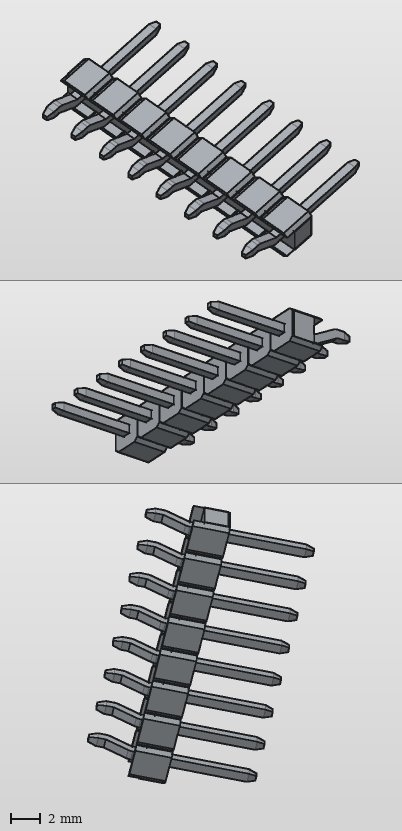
import cadquery as cq
import math

PIN_COUNT = 8
ROW_LENGTH = 20.32
PITCH = ROW_LENGTH / PIN_COUNT
FIRST_PIN_X = -(PIN_COUNT - 1) * PITCH / 2

HOUSING_HEIGHT = 2.5
HOUSING_DEPTH = HOUSING_HEIGHT
FLANGE_THICKNESS = 0.26
CORE_HEIGHT = HOUSING_HEIGHT - 2 * FLANGE_THICKNESS
CORE_FRONT = 1.77
REAR_RECESS = 0.12
SEGMENT_GAP = 0.08
SEGMENT_WIDTH = PITCH - SEGMENT_GAP
BEVEL_WIDTH = 0.3

PIN_SIZE = 0.65
REAR_LENGTH = 6.0
FRONT_END = 5.5
TIP_LENGTH = 0.57
TIP_SIZE = 0.37
BEND_START = 2.56
BEND_ANGLE = math.radians(29)


def pin_x_positions():
    return [FIRST_PIN_X + i * PITCH for i in range(PIN_COUNT)]


def make_segment(x):
    """One bevelled segment, cut away in front between its two flanges."""
    half_width = SEGMENT_WIDTH / 2
    half_flat = half_width - BEVEL_WIDTH
    half_core = CORE_HEIGHT / 2
    half_height = HOUSING_HEIGHT / 2
    outline = [
        (half_flat, half_height),
        (half_width, half_core),
        (half_width, -half_core),
        (half_flat, -half_height),
        (-half_flat, -half_height),
        (-half_width, -half_core),
        (-half_width, half_core),
        (-half_flat, half_height),
    ]
    segment = cq.Workplane("XZ").polyline(outline).close().extrude(HOUSING_DEPTH)
    core_front = cq.Workplane("XZ", origin=(0, -CORE_FRONT, 0))
    front_opening = core_front.rect(PITCH, CORE_HEIGHT).extrude(HOUSING_DEPTH - CORE_FRONT)
    return segment.cut(front_opening).translate((x, 0, 0))


def make_housing():
    """Segments joined by a continuous core, with a square hole for each pin."""
    core_rear = cq.Workplane("XZ", origin=(0, -REAR_RECESS, 0))
    housing = core_rear.rect(ROW_LENGTH, CORE_HEIGHT).extrude(CORE_FRONT - REAR_RECESS)
    for x in pin_x_positions():
        housing = housing.union(make_segment(x))
    hole_centers = [(x, 0) for x in pin_x_positions()]
    pin_holes = cq.Workplane("XZ").pushPoints(hole_centers).rect(PIN_SIZE, PIN_SIZE).extrude(HOUSING_DEPTH)
    return housing.cut(pin_holes)


def make_tip(y, z, direction):
    """Tapered end of a pin that starts at y and points along +Y (1) or -Y (-1)."""
    base = cq.Plane(origin=(0, y, z), xDir=(1, 0, 0), normal=(0, direction, 0))
    tip = cq.Workplane(base).rect(PIN_SIZE, PIN_SIZE)
    return tip.workplane(offset=TIP_LENGTH).rect(TIP_SIZE, TIP_SIZE).loft(ruled=True)


def make_pin(x):
    """Square wire with an upward jog whose raised end is flush with the housing top."""
    half = PIN_SIZE / 2
    raised_top = HOUSING_HEIGHT / 2
    raised_bottom = raised_top - PIN_SIZE
    rear = REAR_LENGTH - TIP_LENGTH
    front = TIP_LENGTH - FRONT_END

    def arc_point(center, angle, side):
        """Point on an outer bend; side is 1 for above the center, -1 for below."""
        y = center[0] + side * PIN_SIZE * math.sin(angle)
        z = center[1] + side * PIN_SIZE * math.cos(angle)
        return (y, z)

    slope_rise = raised_top - half - PIN_SIZE * (1 - math.cos(BEND_ANGLE))
    slope_run = slope_rise / math.tan(BEND_ANGLE)
    lower_bend = (-BEND_START, half)
    upper_bend = (-BEND_START - slope_run - PIN_SIZE * math.sin(BEND_ANGLE), raised_bottom)

    wire = (
        cq.Workplane("YZ")
        .moveTo(rear, half)
        .lineTo(*lower_bend)
        .lineTo(*arc_point(upper_bend, BEND_ANGLE, 1))
        .threePointArc(arc_point(upper_bend, BEND_ANGLE / 2, 1), arc_point(upper_bend, 0, 1))
        .lineTo(front, raised_top)
        .lineTo(front, raised_bottom)
        .lineTo(*upper_bend)
        .lineTo(*arc_point(lower_bend, BEND_ANGLE, -1))
        .threePointArc(arc_point(lower_bend, BEND_ANGLE / 2, -1), arc_point(lower_bend, 0, -1))
        .lineTo(rear, -half)
        .close()
        .extrude(half, both=True)
    )
    rear_tip = make_tip(rear, 0, 1)
    front_tip = make_tip(front, raised_bottom + half, -1)
    return wire.union(rear_tip).union(front_tip).translate((x, 0, 0))


housing = make_housing()
pins = [make_pin(x).solids().val() for x in pin_x_positions()]

result = cq.Compound.makeCompound([housing.solids().val(), *pins])